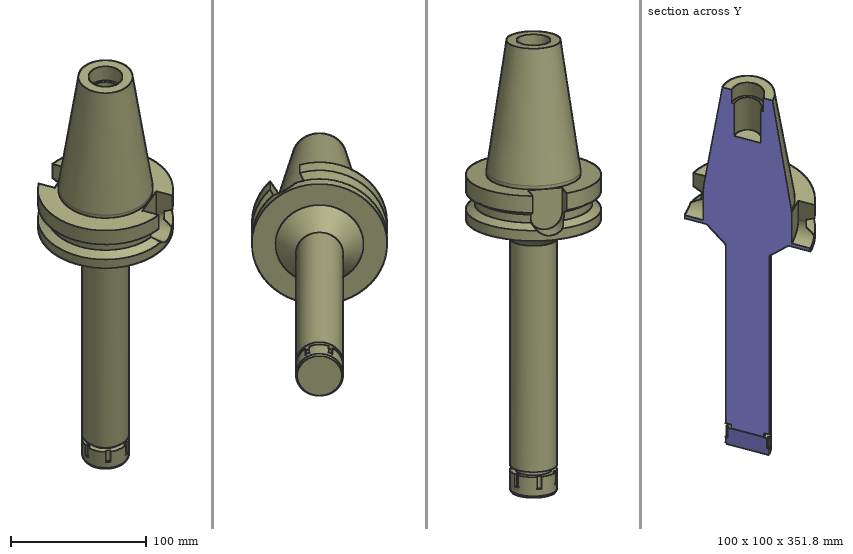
import cadquery as cq
import math


taper_length = 101.8
gauge_diameter = 69.85
taper_ratio = 7 / 24
taper_end_diameter = gauge_diameter - taper_length * taper_ratio
bore_diameter = 25.0
bore_depth = 13.0
thread_hole_diameter = 21.0
thread_hole_depth = 45.0

flange_diameter = 100.0
flange_top = -3.0
flange_bottom = -38.0
groove_diameter = 87.0
groove_centre = -23.0
groove_floor_width = 6.4
groove_flank_angle = 30.0
flank_height = (flange_diameter - groove_diameter) / 2 * math.tan(math.radians(groove_flank_angle))
groove_floor_top = groove_centre + groove_floor_width / 2
groove_floor_bottom = groove_centre - groove_floor_width / 2
groove_top = groove_floor_top + flank_height
groove_bottom = groove_floor_bottom - flank_height

drive_slot_width = 25.7
drive_slot_floor = 35.3
drive_slot_arc_centre = -21.5

tube_diameter = 35.0
cone_height = 15.0
cone_top_diameter = tube_diameter + 2 * cone_height
cone_bottom = flange_bottom - cone_height

nose_end = -250.0
nut_diameter = 35.0
nut_height = 16.5
nut_top = nose_end + nut_height
nut_chamfer_radial = 1.0
nut_chamfer_height = 1.7
neck_diameter = 26.5
neck_height = 4.0
neck_top = nut_top + neck_height

wrench_slot_count = 6
wrench_slot_width = 3.5
wrench_slot_depth = 1.8
wrench_slot_length = 9.5


def drive_slot():
    """Round-bottomed slot cutter on the +X side, open at the flange top and rim."""
    half_width = drive_slot_width / 2
    return (
        cq.Workplane("YZ", origin=(drive_slot_floor, 0, 0))
        .moveTo(-half_width, flange_top)
        .lineTo(-half_width, drive_slot_arc_centre)
        .threePointArc((0, drive_slot_arc_centre - half_width), (half_width, drive_slot_arc_centre))
        .lineTo(half_width, flange_top)
        .close()
        .extrude(flange_diameter / 2)
    )


def make_holder():
    """Taper, flange, cone, tube and neck turned as one piece, then bored and slotted."""
    outline = [
        (0, taper_length),
        (taper_end_diameter / 2, taper_length),
        (gauge_diameter / 2, 0),
        (gauge_diameter / 2, flange_top),
        (flange_diameter / 2, flange_top),
        (flange_diameter / 2, groove_top),
        (groove_diameter / 2, groove_floor_top),
        (groove_diameter / 2, groove_floor_bottom),
        (flange_diameter / 2, groove_bottom),
        (flange_diameter / 2, flange_bottom),
        (cone_top_diameter / 2, flange_bottom),
        (tube_diameter / 2, cone_bottom),
        (tube_diameter / 2, neck_top),
        (neck_diameter / 2, neck_top),
        (neck_diameter / 2, nut_top),
        (0, nut_top),
    ]
    holder = cq.Workplane("XZ").polyline(outline).close().revolve(360, (0, 0, 0), (0, 1, 0))

    for diameter, depth in [(bore_diameter, bore_depth), (thread_hole_diameter, thread_hole_depth)]:
        floor = taper_length - depth
        holder = holder.cut(cq.Workplane("XY", origin=(0, 0, floor)).circle(diameter / 2).extrude(depth))

    for angle in (0, 180):
        holder = holder.cut(drive_slot().rotate((0, 0, 0), (0, 0, 1), angle))
    return holder


def make_nut():
    """Plain clamping nut seated against the neck, with wrench slots open at its top."""
    radius = nut_diameter / 2
    outline = [
        (0, nut_top),
        (radius, nut_top),
        (radius, nose_end + nut_chamfer_height),
        (radius - nut_chamfer_radial, nose_end),
        (0, nose_end),
    ]
    nut = cq.Workplane("XZ").polyline(outline).close().revolve(360, (0, 0, 0), (0, 1, 0))

    slot = cq.Workplane("XY").box(
        2 * wrench_slot_depth, wrench_slot_width, wrench_slot_length, centered=(False, True, False)
    ).translate((radius - wrench_slot_depth, 0, nut_top - wrench_slot_length))
    for index in range(wrench_slot_count):
        nut = nut.cut(slot.rotate((0, 0, 0), (0, 0, 1), index * 360 / wrench_slot_count))
    return nut


holder = make_holder()
nut = make_nut()

result = cq.Compound.makeCompound([holder.val(), nut.val()])